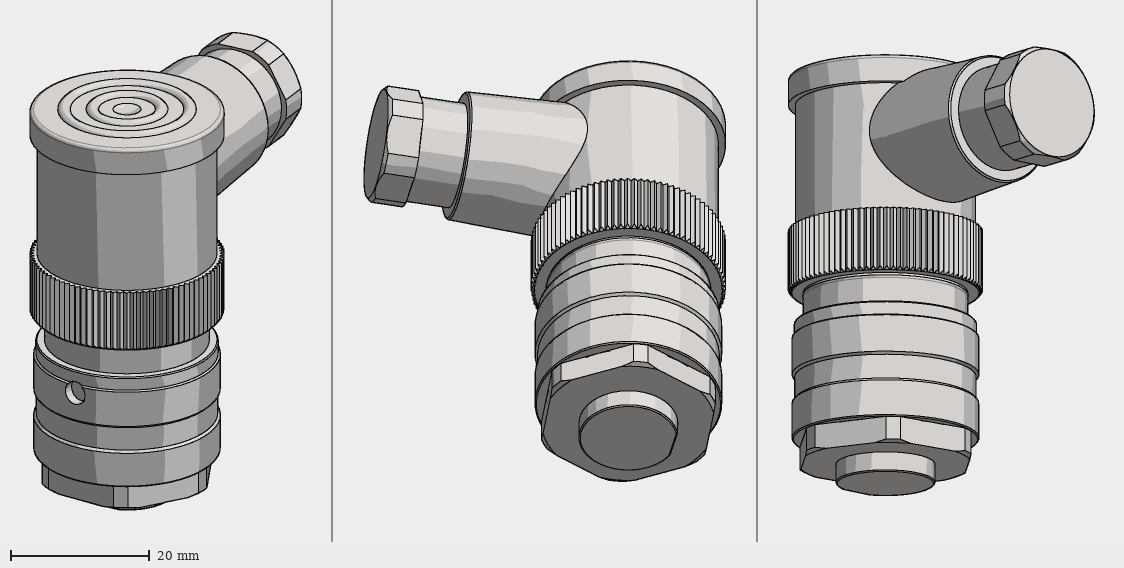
import math

import cadquery as cq


TOTAL_HEIGHT = 60.9
CAP_TOP = 60.3
CAP_BOTTOM = 56.3
KNURL_TOP = 37.5
KNURL_BOTTOM = 28.3
BEAD_HALF_HEIGHT = 0.35

CAP_RADIUS = 14.0
CAP_ROUNDING = 0.55
BODY_RADIUS = 13.0
NECK_RADIUS = 11.9
NECK_BEAD_RADIUS = 11.95
PLUG_RADIUS = 7.1
PLUG_CHAMFER = 0.2
PLUG_FLAT_DISTANCE = 6.7

RING_RADII = (9.1, 5.0)
RING_WIDTH = 1.8
RING_HEIGHT = TOTAL_HEIGHT - CAP_TOP
DIMPLE_RADIUS = 2.0
DIMPLE_DEPTH = 0.5

KNURL_TEETH = 90
KNURL_DEPTH = 0.55
KNURL_ANGLE = 0.8
KNURL_CHAMFER = 0.5

OUTLET_HEIGHT = 49.2
BOSS_END = 25.45
BOSS_END_RADIUS = 9.3
BOSS_TAPER_ANGLE = 2.2
BOSS_CHAMFER = 0.25
GLAND_RADIUS = 7.6
GLAND_NUT_START = 32.2
GLAND_NUT_END = 37.3
GLAND_NUT_APOTHEM = 8.0
GLAND_NUT_CORNER_RADIUS = 8.45
GLAND_NUT_CHAMFER = 0.55

SLEEVE_ANGLE = -5.0
SLEEVE_TOP = 23.8
SLEEVE_BAND_RADIUS = 13.45
SLEEVE_GROOVE_RADIUS = 13.1
SLEEVE_COLLAR_RADIUS = 13.15
SLEEVE_EDGE = 0.2
UPPER_BAND_TOP = 21.6
UPPER_BAND_BOTTOM = 16.2
LOWER_BAND_TOP = 11.95
HEX_TOP = 6.6
HEX_BOTTOM = 2.85
HEX_APOTHEM = 11.9
HEX_CORNER_RADIUS = 13.15
HEX_CHAMFER_WIDTH = 0.7
HEX_CHAMFER_HEIGHT = 0.35
WINDOW_RADIUS = 1.7
WINDOW_HEIGHT = 20.4


def turned(points):
    """Solid of revolution about Z from (radius, height) points."""
    return cq.Workplane("XZ").polyline(points).close().revolve(360, (0, 0), (0, 1))


def turned_on_outlet(points):
    """Solid of revolution about the outlet axis from (distance along Y, radius) points."""
    axis_points = [(y, OUTLET_HEIGHT + radius) for y, radius in points]
    profile = cq.Workplane("YZ").polyline(axis_points).close()
    return profile.revolve(360, (0, OUTLET_HEIGHT), (1, OUTLET_HEIGHT))


def hexagon_diameter(apothem):
    """Across-corners size of a sharp hexagon."""
    return 2 * apothem / math.cos(math.radians(30))


def make_stem():
    """Cap, barrel, beaded neck and plug along Z."""
    bead_middle = KNURL_BOTTOM - BEAD_HALF_HEIGHT
    bead_bottom = bead_middle - BEAD_HALF_HEIGHT
    stem = turned([
        (0, 0),
        (PLUG_RADIUS, 0),
        (PLUG_RADIUS, HEX_TOP),
        (NECK_RADIUS, HEX_TOP),
        (NECK_RADIUS, bead_bottom),
        (NECK_BEAD_RADIUS, bead_middle),
        (NECK_RADIUS, KNURL_BOTTOM),
        (BODY_RADIUS, KNURL_BOTTOM),
        (BODY_RADIUS, CAP_BOTTOM),
        (CAP_RADIUS, CAP_BOTTOM),
        (CAP_RADIUS, CAP_TOP),
        (0, CAP_TOP),
    ])
    return stem.faces(">Z").edges().fillet(CAP_ROUNDING)


def make_plug_flat():
    """Material removed from the exposed plug tip to leave its flat on the -Y side."""
    cut_depth = PLUG_RADIUS - PLUG_FLAT_DISTANCE
    cutter = cq.Workplane("XY").box(2 * PLUG_RADIUS, cut_depth, HEX_BOTTOM, centered=(True, False, False))
    return cutter.translate((0, -PLUG_RADIUS, 0))


def make_cap_ring(radius):
    """Raised ring of rounded section on the cap."""
    half = RING_WIDTH / 2
    section = (
        cq.Workplane("XZ")
        .moveTo(radius - half, CAP_TOP)
        .threePointArc((radius, CAP_TOP + RING_HEIGHT), (radius + half, CAP_TOP))
        .close()
    )
    return section.revolve(360, (0, 0), (0, 1))


def make_dimple():
    """Ball that cuts the shallow dimple in the middle of the cap."""
    ball_radius = (DIMPLE_RADIUS**2 + DIMPLE_DEPTH**2) / (2 * DIMPLE_DEPTH)
    return cq.Workplane("XY").sphere(ball_radius).translate((0, 0, CAP_TOP - DIMPLE_DEPTH + ball_radius))


def make_knurl():
    """Band of V-shaped teeth with a chamfered lower edge."""
    half_pitch = math.pi / KNURL_TEETH
    outline = []
    for index in range(2 * KNURL_TEETH):
        is_root = index % 2 == 0
        radius = CAP_RADIUS - KNURL_DEPTH if is_root else CAP_RADIUS
        angle = math.radians(KNURL_ANGLE) + index * half_pitch
        outline.append((radius * math.cos(angle), radius * math.sin(angle)))
    height = KNURL_TOP - KNURL_BOTTOM
    teeth = cq.Workplane("XY").workplane(offset=KNURL_BOTTOM).polyline(outline).close().extrude(height)
    envelope = turned([
        (0, KNURL_BOTTOM),
        (CAP_RADIUS - KNURL_CHAMFER, KNURL_BOTTOM),
        (CAP_RADIUS, KNURL_BOTTOM + KNURL_CHAMFER),
        (CAP_RADIUS, KNURL_TOP),
        (0, KNURL_TOP),
    ])
    return teeth.intersect(envelope)


def make_outlet():
    """Tapered boss and round gland along +Y."""
    base_radius = BOSS_END_RADIUS + BOSS_END * math.tan(math.radians(BOSS_TAPER_ANGLE))
    return turned_on_outlet([
        (0, 0),
        (0, base_radius),
        (BOSS_END - BOSS_CHAMFER, BOSS_END_RADIUS),
        (BOSS_END, BOSS_END_RADIUS - BOSS_CHAMFER),
        (BOSS_END, GLAND_RADIUS),
        (GLAND_NUT_START, GLAND_RADIUS),
        (GLAND_NUT_START, 0),
    ])


def make_gland_nut():
    """Hexagon on the outlet end with turned corners and a chamfered end face."""
    hexagon = (
        cq.Workplane("XZ", origin=(0, GLAND_NUT_START, OUTLET_HEIGHT))
        .polygon(6, hexagon_diameter(GLAND_NUT_APOTHEM))
        .extrude(GLAND_NUT_START - GLAND_NUT_END)
    )
    envelope = turned_on_outlet([
        (GLAND_NUT_START, 0),
        (GLAND_NUT_START, GLAND_NUT_CORNER_RADIUS),
        (GLAND_NUT_END - GLAND_NUT_CHAMFER, GLAND_NUT_CORNER_RADIUS),
        (GLAND_NUT_END, GLAND_NUT_CORNER_RADIUS - GLAND_NUT_CHAMFER),
        (GLAND_NUT_END, 0),
    ])
    return hexagon.intersect(envelope)


def make_housing():
    """Elbow housing with its plug, as one solid."""
    housing = make_stem().cut(make_plug_flat()).cut(make_dimple())
    housing = housing.faces("<Z").edges().chamfer(PLUG_CHAMFER)
    for radius in RING_RADII:
        housing = housing.union(make_cap_ring(radius))
    return housing.union(make_knurl()).union(make_outlet()).union(make_gland_nut())


def make_sleeve_hex():
    """Hexagon at the lower end of the sleeve with turned, chamfered corners."""
    hexagon = (
        cq.Workplane("XY")
        .workplane(offset=HEX_BOTTOM)
        .polygon(6, hexagon_diameter(HEX_APOTHEM))
        .extrude(HEX_TOP - HEX_BOTTOM)
    )
    envelope = turned([
        (0, HEX_BOTTOM),
        (HEX_CORNER_RADIUS - HEX_CHAMFER_WIDTH, HEX_BOTTOM),
        (HEX_CORNER_RADIUS, HEX_BOTTOM + HEX_CHAMFER_HEIGHT),
        (HEX_CORNER_RADIUS, HEX_TOP),
        (0, HEX_TOP),
    ])
    plug_hole = cq.Workplane("XY").circle(PLUG_RADIUS).extrude(HEX_TOP)
    return hexagon.intersect(envelope).cut(plug_hole)


def make_sleeve():
    """Coupling sleeve around the neck, turned slightly about Z."""
    groove_step = SLEEVE_BAND_RADIUS - SLEEVE_GROOVE_RADIUS
    sleeve = turned([
        (NECK_RADIUS, HEX_TOP),
        (SLEEVE_BAND_RADIUS - SLEEVE_EDGE, HEX_TOP),
        (SLEEVE_BAND_RADIUS, HEX_TOP + SLEEVE_EDGE),
        (SLEEVE_BAND_RADIUS, LOWER_BAND_TOP),
        (SLEEVE_GROOVE_RADIUS, LOWER_BAND_TOP + groove_step),
        (SLEEVE_GROOVE_RADIUS, UPPER_BAND_BOTTOM - groove_step),
        (SLEEVE_BAND_RADIUS, UPPER_BAND_BOTTOM),
        (SLEEVE_BAND_RADIUS, UPPER_BAND_TOP),
        (SLEEVE_COLLAR_RADIUS, UPPER_BAND_TOP + SLEEVE_EDGE),
        (SLEEVE_COLLAR_RADIUS, SLEEVE_TOP - SLEEVE_EDGE),
        (SLEEVE_COLLAR_RADIUS - SLEEVE_EDGE, SLEEVE_TOP),
        (NECK_RADIUS, SLEEVE_TOP),
    ])
    window = (
        cq.Workplane("XZ", origin=(0, 0, WINDOW_HEIGHT))
        .circle(WINDOW_RADIUS)
        .extrude(SLEEVE_BAND_RADIUS)
    )
    sleeve = sleeve.union(make_sleeve_hex()).cut(window)
    return sleeve.rotate((0, 0, 0), (0, 0, 1), SLEEVE_ANGLE)


housing = make_housing()
sleeve = make_sleeve()
result = cq.Compound.makeCompound([housing.solids().val(), sleeve.solids().val()])